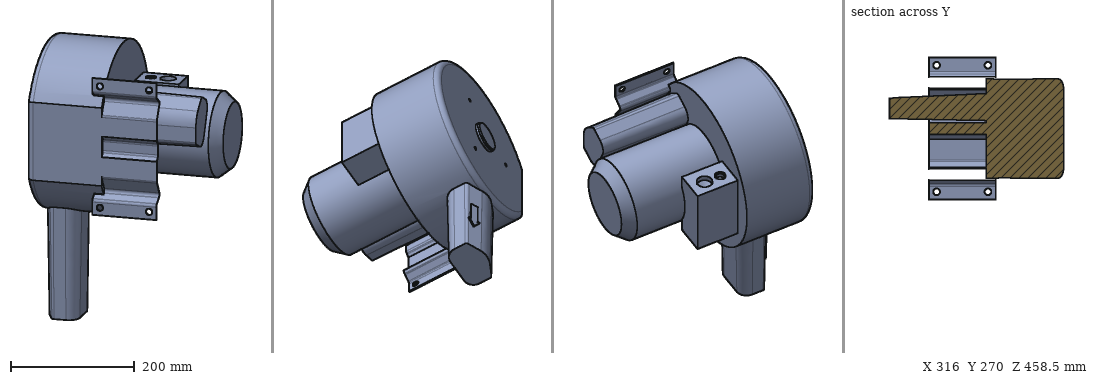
import cadquery as cq
import math


housing_radius = 142.0
housing_length = 125.5
housing_flat_y = -126.0
cover_fillet = 9.5
knob_diameter = 50.5
knob_height = 7.0
knob_chamfer_length = 2.8
knob_chamfer_width = 1.5
cover_hole_count = 3
cover_hole_diameter = 5.5
cover_hole_depth = 4.5
cover_hole_circle_radius = 69.5
cover_hole_first_angle = 51.5

motor_radius = 70.5
motor_shoulder_x = 289.0
motor_end_x = 309.0
motor_end_radius = 54.5

box_end_x = 200.5
box_inner_y = 60.5
box_outer_y = 112.0
box_half_height = 59.5
entry_y = 88.0
large_entry_x = 174.0
large_entry_diameter = 25.5
small_entry_x = 145.0
small_entry_diameter = 13.5
small_entry_rim_diameter = 17.5
small_entry_rim_depth = 2.5
entry_depth = 9.0
drill_point_angle = 118.0

foot_start_x = 110.0
foot_end_x = 218.5
foot_thickness = 2.5
flange_y = -128.0
flange_top_z = 115.0
flange_bend_z = 90.0
valley_y = -109.0
valley_z = 78.0
pad_top_z = 52.0
pad_bottom_z = 17.5
groove_y = -119.0
groove_half_width = 9.5
foot_bend_radius = 5.5
foot_hole_diameter = 10.5
foot_hole_z = 102.5
foot_hole_xs = (123.0, 206.0)

silencer_half_width = 39.0
silencer_depth = 56.0
crown_half_width = 13.8
crown_drop = 2.8
facet_angle = 25.0
corner_radius = 4.5
back_radius = 18.5
silencer_taper = 0.86
facet_end_v = crown_drop + (silencer_half_width - crown_half_width) * math.tan(math.radians(facet_angle))

lower_silencer_x = 8.0
lower_silencer_y = -22.0
lower_silencer_end_z = -316.5
lower_silencer_root_z = -114.5

side_silencer_y = -114.5
side_silencer_z = 57.0
side_silencer_end_x = 282.0

arrow_top_z = -199.5
arrow_head_z = -241.3
arrow_tip_z = -259.0
arrow_shaft_width = 13.0
arrow_head_width = 20.5
arrow_center_u = 27.0
arrow_height = 2.5
arrow_embed = 2.5


def make_housing():
    disc = cq.Workplane("YZ").circle(housing_radius).extrude(housing_length)
    flat_span = housing_radius - housing_flat_y
    keep = cq.Workplane("XY").box(
        housing_length, flat_span, 2 * housing_radius, centered=(False, False, True)
    ).translate((0, housing_flat_y, 0))
    housing = disc.intersect(keep).faces("<X").edges().fillet(cover_fillet)

    knob = cq.Workplane("YZ").circle(knob_diameter / 2).extrude(-knob_height)
    knob = knob.faces("<X").chamfer(knob_chamfer_length, knob_chamfer_width)

    holes = (
        cq.Workplane("YZ")
        .polarArray(cover_hole_circle_radius, cover_hole_first_angle, 360, cover_hole_count)
        .circle(cover_hole_diameter / 2)
        .extrude(cover_hole_depth)
    )
    return housing.union(knob).cut(holes)


def make_motor():
    return (
        cq.Workplane("XY")
        .moveTo(housing_length, 0)
        .lineTo(housing_length, motor_radius)
        .lineTo(motor_shoulder_x, motor_radius)
        .lineTo(motor_end_x, motor_end_radius)
        .lineTo(motor_end_x, 0)
        .close()
        .revolve(360, (0, 0, 0), (1, 0, 0))
    )


def make_terminal_box():
    return cq.Workplane("XY").box(
        box_end_x - housing_length,
        box_outer_y - box_inner_y,
        2 * box_half_height,
        centered=(False, False, True),
    ).translate((housing_length, box_inner_y, 0))


def make_cable_entry(x, diameter):
    """Blind hole with a drill point, entering the top of the terminal box."""
    radius = diameter / 2
    bottom_z = box_half_height - entry_depth
    point_depth = radius / math.tan(math.radians(drill_point_angle / 2))
    return (
        cq.Workplane("XZ")
        .moveTo(0, box_half_height)
        .lineTo(radius, box_half_height)
        .lineTo(radius, bottom_z)
        .lineTo(0, bottom_z - point_depth)
        .close()
        .revolve(360, (0, 0, 0), (0, 1, 0))
        .translate((x, entry_y, 0))
    )


def make_small_entry_rim():
    return (
        cq.Workplane("XY", origin=(small_entry_x, entry_y, box_half_height))
        .circle(small_entry_rim_diameter / 2)
        .extrude(-small_entry_rim_depth)
    )


def make_foot():
    upper_half = [
        (flange_y, flange_top_z),
        (flange_y, flange_bend_z),
        (valley_y, valley_z),
        (housing_flat_y, pad_top_z),
        (housing_flat_y, pad_bottom_z),
        (groove_y, groove_half_width),
    ]
    outer = upper_half + [(y, -z) for y, z in reversed(upper_half)]
    inner = [(y + foot_thickness, z) for y, z in reversed(outer)]
    sheet = (
        cq.Workplane("YZ", origin=(foot_start_x, 0, 0))
        .polyline(outer + inner)
        .close()
        .extrude(foot_end_x - foot_start_x)
    )
    middle_x = (foot_start_x + foot_end_x) / 2
    rounded_bends = [
        (flange_y, flange_bend_z),
        (valley_y, valley_z),
        (housing_flat_y, pad_top_z),
        (groove_y, groove_half_width),
    ]
    for y, z in rounded_bends:
        for side in (1, -1):
            for face_y in (y, y + foot_thickness):
                bend = cq.selectors.NearestToPointSelector((middle_x, face_y, side * z))
                sheet = sheet.edges("|X").edges(bend).fillet(foot_bend_radius)

    hole_points = [(x, side * foot_hole_z) for x in foot_hole_xs for side in (1, -1)]
    holes = (
        cq.Workplane("XZ", origin=(0, flange_y + foot_thickness, 0))
        .pushPoints(hole_points)
        .circle(foot_hole_diameter / 2)
        .extrude(foot_thickness)
    )
    return sheet.cut(holes)


def make_silencer(end_plane, length):
    """Tapered silencer growing from its free end; plane x is u and plane y is v."""
    outline = (
        cq.Sketch()
        .arc((-crown_half_width, crown_drop), (0, 0), (crown_half_width, crown_drop))
        .segment((silencer_half_width, facet_end_v))
        .segment((silencer_half_width, silencer_depth))
        .segment((-silencer_half_width, silencer_depth))
        .segment((-silencer_half_width, facet_end_v))
        .close()
        .assemble()
    )
    outline = outline.vertices(">Y").fillet(back_radius).reset()
    outline = outline.vertices("<X or >X").vertices("<Y").fillet(corner_radius).reset()
    return cq.Workplane(end_plane).placeSketch(outline).extrude(length, taper=-silencer_taper)


def make_lower_silencer():
    end_plane = cq.Plane(
        origin=(lower_silencer_x, lower_silencer_y, lower_silencer_end_z),
        xDir=(0, -1, 0),
        normal=(0, 0, 1),
    )
    return make_silencer(end_plane, lower_silencer_root_z - lower_silencer_end_z)


def make_side_silencer():
    turn = math.radians(facet_angle)
    end_plane = cq.Plane(
        origin=(side_silencer_end_x, side_silencer_y, side_silencer_z),
        xDir=(0, math.sin(turn), math.cos(turn)),
        normal=(-1, 0, 0),
    )
    return make_silencer(end_plane, side_silencer_end_x - housing_length)


def make_flow_arrow():
    """Arrow standing on the +Y front facet of the lower silencer, leaning with its taper."""
    tilt = math.radians(facet_angle)
    taper = math.radians(silencer_taper)
    arrow_v = crown_drop + (arrow_center_u - crown_half_width) * math.tan(tilt)
    middle_z = (arrow_top_z + arrow_tip_z) / 2
    taper_growth = (middle_z - lower_silencer_end_z) * math.tan(taper)
    outward = cq.Vector(-math.cos(tilt), math.sin(tilt), -math.sin(taper))
    on_facet = cq.Vector(
        lower_silencer_x + arrow_v - taper_growth * math.cos(tilt),
        lower_silencer_y + arrow_center_u + taper_growth * math.sin(tilt),
        middle_z,
    )
    facet = cq.Plane(origin=on_facet, xDir=(math.sin(tilt), math.cos(tilt), 0), normal=outward)
    half_shaft = arrow_shaft_width / 2
    half_head = arrow_head_width / 2
    right_half = [
        (half_shaft, arrow_top_z),
        (half_shaft, arrow_head_z),
        (half_head, arrow_head_z),
    ]
    left_half = [(-u, z) for u, z in reversed(right_half)]
    corners = right_half + [(0, arrow_tip_z)] + left_half
    return (
        cq.Workplane(facet)
        .workplane(offset=-arrow_embed)
        .polyline([(u, middle_z - z) for u, z in corners])
        .close()
        .extrude(arrow_embed + arrow_height)
    )


result = (
    make_housing()
    .union(make_motor())
    .union(make_terminal_box())
    .cut(make_cable_entry(large_entry_x, large_entry_diameter))
    .cut(make_cable_entry(small_entry_x, small_entry_diameter))
    .cut(make_small_entry_rim())
    .union(make_foot())
    .union(make_lower_silencer())
    .union(make_side_silencer())
    .union(make_flow_arrow())
)